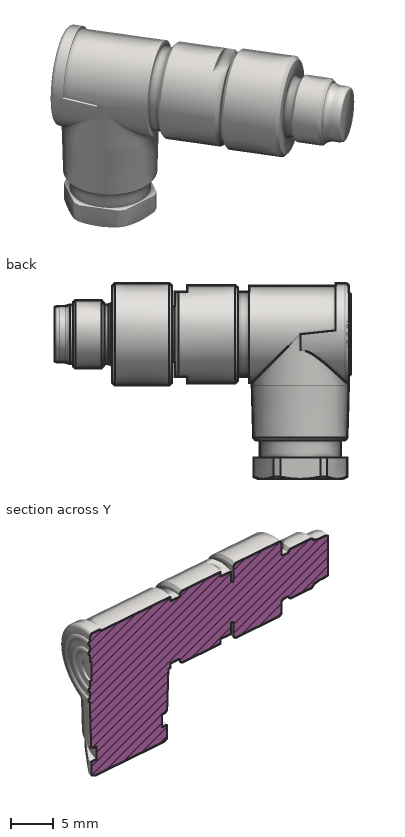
import cadquery as cq
import math


overall_height = 23.0

face_x = 0.25
cap_radius = 12.0 / 2
cap_edge_fillet = 0.5
collar_end_x = 1.8
skirt_drop = 0.45
ring_crest_radii = (4.52, 2.95)
ring_half_width = 0.33
ring_root_x = 2 * face_x
dimple_radius = 1.5
dimple_depth = 0.2

body_radius = 5.7
branch_x = face_x + body_radius
body_end_x = 11.97

neck_radius = 5.0
nut_start_x = 13.25
nut_end_x = 20.7
nut_radius = 5.78
nut_back_chamfer = 0.35
nut_front_chamfer = 0.5
flat_start_x = 19.25
flat_distance = neck_radius

core_radius = 3.27
sleeve_start_x = 21.0
sleeve_end_x = 28.05
sleeve_radius = cap_radius
sleeve_chamfer = 0.35

shoulder_radius = 3.72
shoulder_end_x = 28.15
groove_lip_radius = 3.62
groove_start_x = 28.45
groove_end_x = 28.95
groove_radius = 3.5
band_start_x = 29.3
band_end_x = 32.33
band_radius = 4.0
band_slope_end_x = 32.65
step_end_x = 32.95
step_radius = groove_radius
step_slope_x = 33.2
step_slope_radius = 3.4
nose_start_x = 33.48
nose_taper_x = 34.2
nose_radius = 3.35
tip_end_x = 34.8
tip_end_radius = 3.25
tip_fillet = 0.2

cup_top_z = -cap_radius
cup_bottom_z = -12.45
cup_bottom_radius = 5.55
cup_chamfer = 0.3
gland_neck_radius = 9.57 / 2

hex_top_z = -14.45
hex_bottom_z = cap_radius - overall_height
hex_across_flats = 10.0
hex_corner_radius = 11.03 / 2
hex_bottom_chamfer_width = 0.6
hex_bottom_chamfer_height = 0.28


def x_cylinder(start_x, end_x, radius):
    """Solid cylinder on the barrel axis."""
    return cq.Workplane("YZ", origin=(start_x, 0, 0)).circle(radius).extrude(end_x - start_x)


def z_cylinder(top_z, bottom_z, radius):
    """Solid cylinder on the branch axis."""
    return cq.Workplane("XY", origin=(branch_x, 0, bottom_z)).circle(radius).extrude(top_z - bottom_z)


def make_cap():
    """Round cap with a lower half that reaches back as skirts on both sides of the body."""
    cap = x_cylinder(face_x, branch_x, cap_radius).faces("<X").edges().fillet(cap_edge_fillet)
    above_skirts = (
        cq.Workplane("XZ")
        .moveTo(collar_end_x, skirt_drop)
        .lineTo(branch_x, 0)
        .lineTo(branch_x, cap_radius)
        .lineTo(collar_end_x, cap_radius)
        .close()
        .extrude(cap_radius, both=True)
    )
    return cap.cut(above_skirts)


def make_ring(crest_radius):
    """Rounded ring standing out from the cap face, rooted in the cap."""
    inner_radius = crest_radius - ring_half_width
    outer_radius = crest_radius + ring_half_width
    return (
        cq.Workplane("XY")
        .moveTo(face_x, inner_radius)
        .threePointArc((0, crest_radius), (face_x, outer_radius))
        .lineTo(ring_root_x, outer_radius)
        .lineTo(ring_root_x, inner_radius)
        .close()
        .revolve(360, (0, 0, 0), (1, 0, 0))
    )


def make_below_mitre():
    """Wedge under the two 45 degree mitre planes where barrel and branch meet."""
    return (
        cq.Workplane("XZ")
        .moveTo(branch_x, 0)
        .lineTo(branch_x - hex_bottom_z, hex_bottom_z)
        .lineTo(branch_x + hex_bottom_z, hex_bottom_z)
        .close()
        .extrude(2 * body_radius, both=True)
    )


def make_barrel():
    """Horizontal part of the elbow, cut away below the mitre."""
    barrel = x_cylinder(face_x + cap_edge_fillet, body_end_x, body_radius)
    return barrel.cut(make_below_mitre())


def make_branch():
    """Hanging part of the elbow: straight wall, tapered cup and chamfered lower edge."""
    branch = (
        cq.Workplane("XZ")
        .lineTo(body_radius, 0)
        .lineTo(body_radius, cup_top_z)
        .lineTo(cup_bottom_radius, cup_bottom_z + cup_chamfer)
        .lineTo(cup_bottom_radius - cup_chamfer, cup_bottom_z)
        .lineTo(0, cup_bottom_z)
        .close()
        .revolve(360, (0, 0, 0), (0, 1, 0))
        .translate((branch_x, 0, 0))
    )
    return branch.intersect(make_below_mitre())


def make_lock_nut():
    """Chamfered nut with flats at the top and bottom of its front end, plus the neck behind it."""
    nut = (
        x_cylinder(nut_start_x, nut_end_x, nut_radius)
        .faces("<X").chamfer(nut_back_chamfer)
        .faces(">X").chamfer(nut_front_chamfer)
    )
    flat_length = nut_end_x - flat_start_x
    flat_depth = nut_radius - flat_distance
    for side in (1, -1):
        flat_cut = cq.Workplane("XY").box(flat_length, 2 * nut_radius, flat_depth).translate(
            (flat_start_x + flat_length / 2, 0, side * (flat_distance + flat_depth / 2))
        )
        nut = nut.cut(flat_cut)
    return nut.union(x_cylinder(body_end_x, nut_start_x, neck_radius))


def make_sleeve():
    """Coupling sleeve and the core that joins it to the lock nut."""
    sleeve = x_cylinder(sleeve_start_x, sleeve_end_x, sleeve_radius).faces("<X or >X").chamfer(sleeve_chamfer)
    return sleeve.union(x_cylinder(nut_end_x, sleeve_start_x, core_radius))


def make_tip():
    """Stepped plug tip, turned about the barrel axis."""
    profile = [
        (sleeve_end_x, 0),
        (sleeve_end_x, shoulder_radius),
        (shoulder_end_x, groove_lip_radius),
        (groove_start_x, groove_radius),
        (groove_end_x, groove_radius),
        (groove_end_x, groove_lip_radius),
        (band_start_x, band_radius),
        (band_end_x, band_radius),
        (band_slope_end_x, shoulder_radius),
        (band_slope_end_x, step_radius),
        (step_end_x, step_radius),
        (step_slope_x, step_slope_radius),
        (nose_start_x, nose_radius),
        (nose_taper_x, nose_radius),
        (tip_end_x, tip_end_radius),
        (tip_end_x, 0),
    ]
    tip = cq.Workplane("XY").polyline(profile).close().revolve(360, (0, 0, 0), (1, 0, 0))
    return tip.faces(">X").edges().fillet(tip_fillet)


def make_gland_nut():
    """Hexagon with corners along X, turned down and chamfered at the bottom."""
    height = hex_top_z - hex_bottom_z
    corner_diameter = hex_across_flats / math.cos(math.radians(30))
    hexagon = cq.Workplane("XY", origin=(branch_x, 0, hex_bottom_z)).polygon(6, corner_diameter).extrude(height)
    turned = (
        z_cylinder(hex_top_z, hex_bottom_z, hex_corner_radius)
        .faces("<Z").chamfer(hex_bottom_chamfer_height, hex_bottom_chamfer_width)
    )
    return hexagon.intersect(turned)


result = make_barrel().union(make_branch()).union(make_cap())
for crest_radius in ring_crest_radii:
    result = result.union(make_ring(crest_radius))
result = result.cut(x_cylinder(face_x, face_x + dimple_depth, dimple_radius))
gland_neck = z_cylinder(cup_bottom_z, hex_top_z, gland_neck_radius)
for section in (make_lock_nut(), make_sleeve(), make_tip(), gland_neck, make_gland_nut()):
    result = result.union(section)